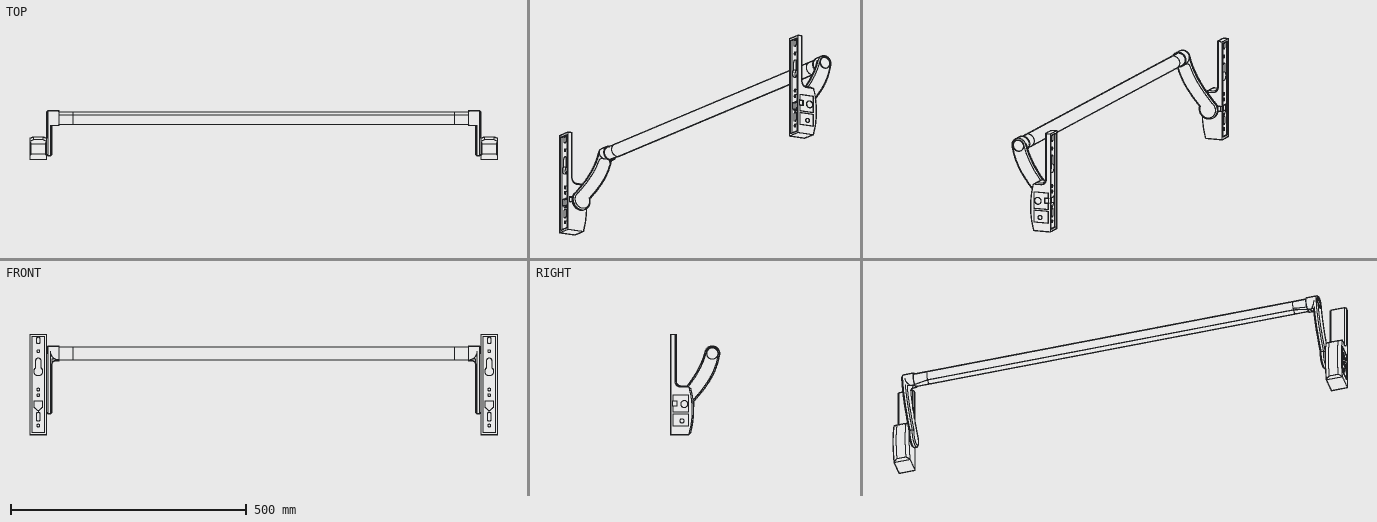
import cadquery as cq
import math

overall_length = 992.0
height = 213.0
overall_depth = 104.0

housing_width = 36.0
housing_outer_x = -overall_length / 2
housing_inner_x = housing_outer_x + housing_width
housing_middle_x = housing_outer_x + housing_width / 2
strip_depth = 12.0
case_height = 104.0
case_depth = 49.0
case_widest_z = 58.0
shelf_fillet = 10.0
front_edge_bevel_depth = 8.0
front_edge_bevel_width = 3.0
strip_edge_chamfer = 3.0
base_front_y = 38.0
base_chamfer = 5.0
brow_y = 43.0
brow_z = 98.0
shelf_front_y = 34.0

rim = 5.0
recess_depth = 3.0
hole_depth = 6.0
screw_hole_diameter = 6.0
screw_hole_heights = [20.0, 84.0, 96.0, 178.0]
slot_width = 8.0
lower_slot_length = 19.0
lower_slot_z = 39.0
top_slot_length = 14.0
top_slot_z = 200.0
keyhole_entry_radius = 9.4
keyhole_entry_z = 135.0
keyhole_neck_width = 11.0
keyhole_top_z = 158.0
latch_width = 18.0
latch_top_z = 71.0
latch_shoulder_z = 59.0
latch_tip_z = 51.0
latch_depth = 5.0

panel_depth = 1.0
panel_back_y = 5.0
panel_front_y = 38.0
panel_spans = [(19.0, 45.0), (49.0, 84.0)]
small_boss_radius = 4.5
small_boss_y = 24.0
small_boss_z = 30.0
side_slot_back_y = 4.0
side_slot_front_y = 14.0
side_slot_bottom_z = 61.0
side_slot_top_z = 72.0

hub_radius = 21.0
hub_y = 29.0
hub_z = 65.0
arm_thickness = 11.0
arm_chamfer = 3.0
hub_back_angle = 125.0
hub_front_angle = 15.0
arm_root_slope = 48.0
eye_back_angle = 165.0
eye_front_angle = -10.0
arm_inner_x = housing_inner_x + arm_thickness
pivot_boss_radius = 7.4

collar_radius = 16.0
collar_y = overall_depth - collar_radius
collar_z = 173.0
collar_length = 15.0
collar_end_x = arm_inner_x + collar_length
collar_fillet = 8.0
cap_recess_radius = 12.0
cap_recess_depth = 2.0
bar_radius = 14.0
bar_length = 809.0
bar_end_x = -bar_length / 2
band_depth = 1.0
band_half_angle = 60.0

selection_margin = 0.1


def box(x, y, z):
    """Box spanning the given (low, high) pairs."""
    return cq.Workplane("XY").box(
        x[1] - x[0], y[1] - y[0], z[1] - z[0], centered=False
    ).translate((x[0], y[0], z[0]))


def cylinder_along_x(radius, start_x, end_x, y, z):
    return cq.Workplane("YZ", origin=(start_x, y, z)).circle(radius).extrude(end_x - start_x)


def direction(angle):
    """Unit vector in the YZ plane, from +Y towards +Z."""
    return (math.cos(math.radians(angle)), math.sin(math.radians(angle)))


def point_on_circle(y, z, radius, angle):
    along_y, along_z = direction(angle)
    return (y + radius * along_y, z + radius * along_z)


def make_housing_blank():
    profile = (
        cq.Workplane("YZ", origin=(housing_outer_x, 0, 0))
        .lineTo(base_front_y, 0)
        .lineTo(base_front_y + base_chamfer, base_chamfer)
        .threePointArc((case_depth, case_widest_z), (brow_y, brow_z))
        .lineTo(shelf_front_y, case_height)
        .lineTo(strip_depth, case_height)
        .lineTo(strip_depth, height)
        .lineTo(0, height)
        .close()
    )
    blank = profile.extrude(housing_width)
    shelf_corner = cq.selectors.NearestToPointSelector((housing_middle_x, strip_depth, case_height))
    blank = blank.edges("|X").edges(shelf_corner).fillet(shelf_fillet)
    bowed_face = cq.selectors.NearestToPointSelector((housing_middle_x, case_depth, case_widest_z))
    bowed_edges = blank.faces(bowed_face).edges("not |X")
    blank = bowed_edges.chamfer(front_edge_bevel_width, front_edge_bevel_depth)
    strip_face_middle = (housing_middle_x, strip_depth, (case_height + height) / 2)
    strip_face = cq.selectors.NearestToPointSelector(strip_face_middle)
    return blank.faces(strip_face).edges("|Z").chamfer(strip_edge_chamfer)


def mounting_face(floor_y):
    """Workplane facing the wall, with X across the housing middle and Z up."""
    return cq.Workplane("XZ", origin=(housing_middle_x, floor_y, 0))


def cut_mounting_face(housing):
    half_opening = housing_width / 2 - rim
    recess = (
        mounting_face(0)
        .center(0, height / 2)
        .rect(2 * half_opening, height - 2 * rim)
        .extrude(-recess_depth)
    )
    floor = mounting_face(recess_depth)
    screw_holes = (
        floor.pushPoints([(0, z) for z in screw_hole_heights])
        .circle(screw_hole_diameter / 2)
        .extrude(-hole_depth)
    )
    lower_slot = (
        floor.center(0, lower_slot_z).slot2D(lower_slot_length, slot_width, 90).extrude(-hole_depth)
    )
    top_slot = (
        floor.center(0, top_slot_z).slot2D(top_slot_length, slot_width, 90).extrude(-hole_depth)
    )
    keyhole_entry = (
        floor.center(0, keyhole_entry_z).circle(keyhole_entry_radius).extrude(-hole_depth)
    )
    neck_length = keyhole_top_z - keyhole_entry_z + keyhole_neck_width
    keyhole_neck = (
        floor.center(0, (keyhole_entry_z + keyhole_top_z) / 2)
        .slot2D(neck_length, keyhole_neck_width, 90)
        .extrude(-hole_depth)
    )
    latch = (
        floor.moveTo(-latch_width / 2, latch_top_z)
        .lineTo(latch_width / 2, latch_top_z)
        .lineTo(latch_width / 2, latch_shoulder_z)
        .lineTo(0, latch_tip_z)
        .lineTo(-latch_width / 2, latch_shoulder_z)
        .close()
        .extrude(-latch_depth)
    )
    for cutter in (recess, screw_holes, lower_slot, top_slot, keyhole_entry, keyhole_neck, latch):
        housing = housing.cut(cutter)
    return housing


def shape_sides(housing):
    """Sunk panels with two round bosses left standing, and a slot in each side wall."""
    panel_x = (housing_outer_x, housing_outer_x + panel_depth)
    for span in panel_spans:
        housing = housing.cut(box(panel_x, (panel_back_y, panel_front_y), span))
    bosses = [
        (pivot_boss_radius, hub_y, hub_z),
        (small_boss_radius, small_boss_y, small_boss_z),
    ]
    for radius, y, z in bosses:
        housing = housing.union(cylinder_along_x(radius, *panel_x, y, z))
    for x in ((housing_outer_x, housing_outer_x + rim), (housing_inner_x - rim, housing_inner_x)):
        housing = housing.cut(
            box(x, (side_slot_back_y, side_slot_front_y), (side_slot_bottom_z, side_slot_top_z))
        )
    return housing


def make_arm():
    """Curved lever from the hub beside the case up to the round eye of the collar."""
    hub_back = point_on_circle(hub_y, hub_z, hub_radius, hub_back_angle)
    hub_bottom = point_on_circle(hub_y, hub_z, hub_radius, 270)
    hub_front = point_on_circle(hub_y, hub_z, hub_radius, hub_front_angle)
    eye_back = point_on_circle(collar_y, collar_z, collar_radius, eye_back_angle)
    eye_top = point_on_circle(collar_y, collar_z, collar_radius, 90)
    eye_front = point_on_circle(collar_y, collar_z, collar_radius, eye_front_angle)
    return (
        cq.Workplane("YZ", origin=(housing_inner_x, 0, 0))
        .moveTo(*hub_back)
        .spline(
            [eye_back],
            tangents=[direction(arm_root_slope), direction(eye_back_angle - 90)],
            includeCurrent=True,
        )
        .threePointArc(eye_top, eye_front)
        .spline(
            [hub_front],
            tangents=[direction(eye_front_angle - 90), direction(arm_root_slope + 180)],
            includeCurrent=True,
        )
        .threePointArc(hub_bottom, hub_back)
        .close()
        .extrude(arm_thickness)
        .faces("<X or >X")
        .chamfer(arm_chamfer)
    )


def cut_band(bar):
    """Sink a shallow band into the outer side of everything between the two collars."""
    floor_radius = bar_radius - band_depth
    outer_radius = bar_radius + band_depth
    band = (
        cq.Workplane("YZ", origin=(collar_end_x, collar_y, collar_z))
        .moveTo(*point_on_circle(0, 0, floor_radius, -band_half_angle))
        .threePointArc((floor_radius, 0), point_on_circle(0, 0, floor_radius, band_half_angle))
        .lineTo(*point_on_circle(0, 0, outer_radius, band_half_angle))
        .threePointArc((outer_radius, 0), point_on_circle(0, 0, outer_radius, -band_half_angle))
        .close()
        .extrude(-2 * collar_end_x)
    )
    return bar.cut(band)


def make_end_unit(side):
    """Housing with its lever, collar and stub; side is -1 for the left end, +1 for the right.

    The stub has the section of the bar and butts against its end.
    """
    housing = shape_sides(cut_mounting_face(make_housing_blank()))
    collar = cylinder_along_x(
        collar_radius, arm_inner_x - arm_chamfer, collar_end_x, collar_y, collar_z
    )
    lever = make_arm().union(collar)
    collar_root = cq.selectors.BoxSelector(
        (arm_inner_x - selection_margin, 0, collar_z - 2 * collar_radius),
        (arm_inner_x + selection_margin, overall_depth, collar_z + 2 * collar_radius),
        boundingbox=True,
    )
    lever = lever.edges(collar_root).fillet(collar_fillet)
    cap_recess = cylinder_along_x(
        cap_recess_radius, housing_inner_x, housing_inner_x + cap_recess_depth, collar_y, collar_z
    )
    stub = cylinder_along_x(bar_radius, collar_end_x, bar_end_x, collar_y, collar_z)
    unit = housing.union(lever.cut(cap_recess)).union(cut_band(stub))
    return unit if side < 0 else unit.mirror("YZ")


def make_bar():
    return cut_band(cylinder_along_x(bar_radius, bar_end_x, -bar_end_x, collar_y, collar_z))


end_units = [make_end_unit(side) for side in (-1, 1)]
bar = make_bar()

result = cq.Compound.makeCompound([*(unit.val() for unit in end_units), bar.val()])